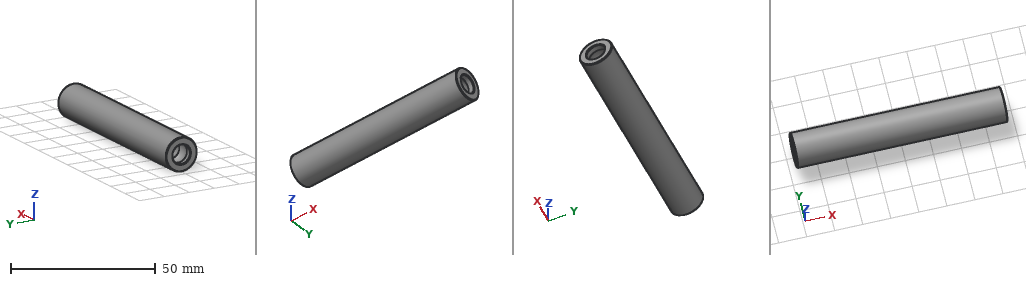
import cadquery as cq

length = 75.0
outer_diameter = 12.5
outer_chamfer = 0.3

bore_diameter = 7.0
bore_chamfer = 0.3

ball_diameter = 8.7
ball_inset = 4.95


def cylinder_along_x(diameter):
    """Full-length cylinder on the X axis, centred on the origin."""
    return cq.Workplane("YZ", origin=(-length / 2, 0, 0)).circle(diameter / 2).extrude(length)


def chamfered_tube():
    """Round tube with both outer rims and both bore mouths chamfered."""
    rod = cylinder_along_x(outer_diameter).faces("<X or >X").chamfer(outer_chamfer)
    tube = rod.cut(cylinder_along_x(bore_diameter))
    bore_edges = cq.selectors.RadiusNthSelector(0)
    return tube.faces("<X or >X").edges(bore_edges).chamfer(bore_chamfer)


def ball_sockets():
    """One sphere on the axis at each end."""
    ball_offset = length / 2 - ball_inset
    ball = cq.Workplane("XY").sphere(ball_diameter / 2).rotate((0, 0, 0), (0, 1, 0), 90)
    left_ball = ball.translate((-ball_offset, 0, 0))
    right_ball = ball.translate((ball_offset, 0, 0))
    return left_ball.union(right_ball)


result = chamfered_tube().cut(ball_sockets())